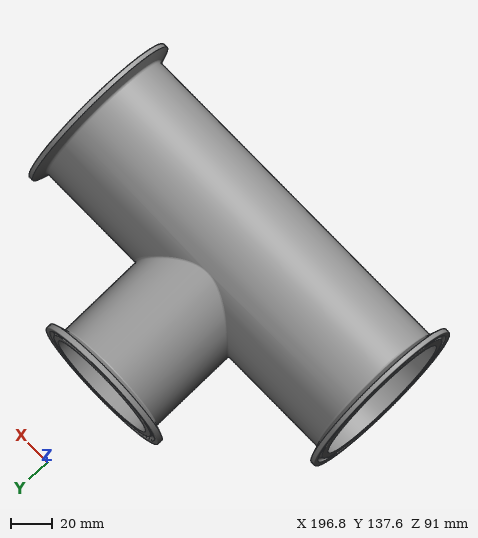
import cadquery as cq
import math

run_length = 196.8
branch_reach = 92.1
run_end = run_length / 2

run_diameter = 76.2
run_bore = 72.8
branch_diameter = 63.5
branch_bore = 60.2
junction_fillet = 1.0

run_flange_diameter = 91.0
branch_flange_diameter = 77.4
run_rim_thickness = 2.5
branch_rim_thickness = 3.0
run_back_fillet = 1.2
branch_back_fillet = 0.8
rim_fillet = 0.4
back_slope = math.tan(math.radians(20))

groove_inset = 4.0
groove_width = 2.8
groove_depth = 1.4
groove_lip_fillet = 0.4

selection_tolerance = 0.2


def solid_of_revolution(points):
    """Revolve a (radius, height) outline about Z."""
    return cq.Workplane("XZ").polyline(points).close().revolve(360, (0, 0), (0, 1))


def ferruled_tube(length, tube_diameter, flange_diameter, rim_thickness, back_fillet):
    """Solid tube from the origin along +Z, with a clamp ferrule at its far end."""
    tube_radius = tube_diameter / 2
    flange_radius = flange_diameter / 2
    rim_back = length - rim_thickness
    back_end = rim_back - back_slope * (flange_radius - tube_radius)
    body = solid_of_revolution([
        (0, 0),
        (tube_radius, 0),
        (tube_radius, back_end),
        (flange_radius, rim_back),
        (flange_radius, length),
        (0, length),
    ])
    back_corner = cq.selectors.BoxSelector(
        (-tube_radius, -tube_radius, back_end - selection_tolerance),
        (tube_radius, tube_radius, back_end + selection_tolerance),
    )
    body = body.edges("%CIRCLE").edges(back_corner).fillet(back_fillet)
    body = body.faces(">Z").edges("%CIRCLE").fillet(rim_fillet)

    groove_radius = flange_radius - groove_inset
    groove = (
        cq.Workplane("XZ")
        .moveTo(groove_radius - groove_width / 2, length)
        .threePointArc(
            (groove_radius, length - groove_depth),
            (groove_radius + groove_width / 2, length),
        )
        .close()
        .revolve(360, (0, 0), (0, 1))
    )
    body = body.cut(groove)
    lip_zone = groove_radius + groove_width / 2 + selection_tolerance
    groove_lips = cq.selectors.BoxSelector(
        (-lip_zone, -lip_zone, length - selection_tolerance),
        (lip_zone, lip_zone, length + selection_tolerance),
        boundingbox=True,
    )
    return body.edges(groove_lips).fillet(groove_lip_fillet)


def bore(diameter, length):
    """Bore cutter from the origin along +Z."""
    return cq.Workplane("XY").circle(diameter / 2).extrude(length)


def along_x(shape):
    return shape.rotate((0, 0, 0), (0, 1, 0), 90)


def along_y(shape):
    return shape.rotate((0, 0, 0), (1, 0, 0), -90)


run_half = along_x(ferruled_tube(
    run_end, run_diameter, run_flange_diameter, run_rim_thickness, run_back_fillet))
branch = along_y(ferruled_tube(
    branch_reach, branch_diameter, branch_flange_diameter, branch_rim_thickness, branch_back_fillet))
run = run_half.union(run_half.mirror("YZ")).clean()
body = run.union(branch)

junction_zone = cq.selectors.BoxSelector(
    (-branch_diameter, selection_tolerance, -run_diameter),
    (branch_diameter, run_diameter / 2 + selection_tolerance, run_diameter),
)
body = body.edges(junction_zone).fillet(junction_fillet)

run_cutter = along_x(bore(run_bore, run_length)).translate((-run_end, 0, 0))
branch_cutter = along_y(bore(branch_bore, branch_reach))
result = body.cut(run_cutter).cut(branch_cutter)